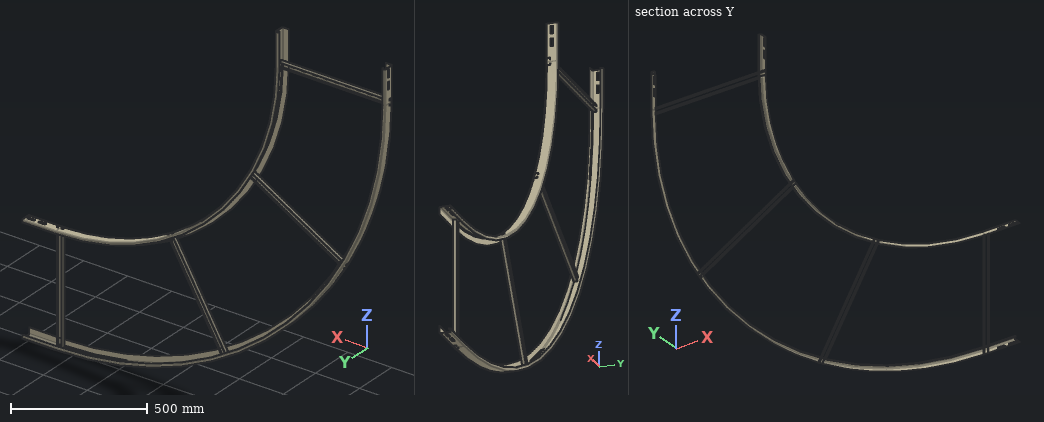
import cadquery as cq
import math


OUTER_RADIUS = 1500.0
LADDER_WIDTH = 500.0
INNER_RADIUS = OUTER_RADIUS - LADDER_WIDTH
MID_RADIUS = (OUTER_RADIUS + INNER_RADIUS) / 2
BEND_ANGLE = 90.0
STRAIGHT_LENGTH = 150.0

SHEET = 1.5
FOLD_RADIUS = 4.0

RAIL_HEIGHT = 45.0
WIDE_FLANGE = 30.0
NARROW_FLANGE = 15.0
RAIL_LIP = 8.0

JOINT_SLOT_LENGTH = 30.0
JOINT_SLOT_WIDTH = 9.0
JOINT_SLOT_PITCH = 50.0
JOINT_SLOT_COUNT = 2
FIRST_JOINT_SLOT = 26.0

RUNG_COUNT = 4
RUNG_WIDTH = 30.0
RUNG_HEIGHT = 15.0
RUNG_LIP = 7.5
FLANGE_CLEARANCE = 0.1
RUNG_BASE = SHEET + FLANGE_CLEARANCE
RUNG_TOP = RUNG_BASE + RUNG_HEIGHT
RUNG_OVERRUN = 5.0

RUNG_SLOT_COUNT = 9
RUNG_SLOT_PITCH = 50.0
RUNG_SLOT_LENGTH = 20.0
RUNG_SLOT_WIDTH = 6.0


def folded_sheet(plane, path):
    """Closed section of a sheet whose outside skin follows path; its square folds all turn one way."""
    points = [cq.Vector(*point) for point in path]
    runs = [(end - start).normalized() for start, end in zip(points, points[1:])]
    folds = list(zip(points[1:-1], runs, runs[1:]))
    inside_radius = FOLD_RADIUS - SHEET

    def add_fold(outline, fold, radius, backwards):
        corner, run_in, run_out = fold
        centre = corner + (run_out - run_in) * FOLD_RADIUS
        ends = [centre - run_out * radius, centre + run_in * radius]
        middle = centre + (run_in - run_out) * (radius * math.sqrt(0.5))
        if backwards:
            ends.reverse()
        begin, finish = ends
        return outline.lineTo(begin.x, begin.y).threePointArc((middle.x, middle.y), (finish.x, finish.y))

    first_inside = points[0] + runs[1] * SHEET
    last_inside = points[-1] - runs[-2] * SHEET
    outline = plane.moveTo(points[0].x, points[0].y)
    for fold in folds:
        outline = add_fold(outline, fold, FOLD_RADIUS, False)
    outline = outline.lineTo(points[-1].x, points[-1].y).lineTo(last_inside.x, last_inside.y)
    for fold in reversed(folds):
        outline = add_fold(outline, fold, inside_radius, True)
    return outline.lineTo(first_inside.x, first_inside.y).close()


def rail_section(web_radius, inward):
    """Rail section at X = -web_radius; its flanges run along inward * X."""
    web = -web_radius
    narrow_tip = web + inward * NARROW_FLANGE
    path = [
        (web + inward * WIDE_FLANGE, 0),
        (web, 0),
        (web, RAIL_HEIGHT),
        (narrow_tip, RAIL_HEIGHT),
        (narrow_tip, RAIL_HEIGHT - RAIL_LIP),
    ]
    return folded_sheet(cq.Workplane("XY"), path)


def joint_slots(web_radius):
    """Cutters for the slots through the web of the straight that rises along Z."""
    first = STRAIGHT_LENGTH - FIRST_JOINT_SLOT
    centres = [(RAIL_HEIGHT / 2, first - i * JOINT_SLOT_PITCH) for i in range(JOINT_SLOT_COUNT)]
    return (
        cq.Workplane("YZ", origin=(-web_radius, 0, 0))
        .pushPoints(centres)
        .rect(JOINT_SLOT_WIDTH, JOINT_SLOT_LENGTH)
        .extrude(2 * SHEET, both=True)
    )


def swap_straight(shape):
    """Mirror a shape across the bend bisector, from the straight along Z to the one along X."""
    return shape.mirror("XY").rotate((0, 0, 0), (0, 1, 0), -BEND_ANGLE)


def rail(web_radius, inward):
    straight = rail_section(web_radius, inward).extrude(STRAIGHT_LENGTH)
    straight = straight.cut(joint_slots(web_radius))
    bend = rail_section(web_radius, inward).revolve(BEND_ANGLE, (0, 0, 0), (0, -1, 0))
    return bend.union(straight, clean=False).union(swap_straight(straight), clean=False)


def rung_slots():
    return (
        cq.Workplane("XZ", origin=(-MID_RADIUS, RUNG_BASE, 0))
        .rarray(RUNG_SLOT_PITCH, 1, RUNG_SLOT_COUNT, 1)
        .rect(RUNG_SLOT_LENGTH, RUNG_SLOT_WIDTH)
        .extrude(2 * SHEET, both=True)
    )


def rail_envelope():
    """Ring bounded by the outside faces of the two rail webs and their folds."""
    ring = cq.Workplane("XZ").circle(OUTER_RADIUS).circle(INNER_RADIUS).extrude(-RAIL_HEIGHT)
    return ring.edges().fillet(FOLD_RADIUS)


def rung_blank():
    """Untrimmed rung along X, open towards +Y, running past both rail webs."""
    half = RUNG_WIDTH / 2
    path = [
        (RUNG_TOP, half - RUNG_LIP),
        (RUNG_TOP, half),
        (RUNG_BASE, half),
        (RUNG_BASE, -half),
        (RUNG_TOP, -half),
        (RUNG_TOP, -half + RUNG_LIP),
    ]
    start = cq.Workplane("YZ", origin=(-OUTER_RADIUS - RUNG_OVERRUN, 0, 0))
    return folded_sheet(start, path).extrude(LADDER_WIDTH + 2 * RUNG_OVERRUN)


def around_bend(shape, step):
    return shape.rotate((0, 0, 0), (0, 1, 0), -step * BEND_ANGLE / (RUNG_COUNT - 1))


outer_rail = rail(OUTER_RADIUS, 1)
inner_rail = rail(INNER_RADIUS, -1)
blank = rung_blank()
rung = blank.cut(rung_slots()).intersect(rail_envelope())
rungs = []
for step in range(RUNG_COUNT):
    passage = around_bend(blank, step)
    outer_rail = outer_rail.cut(passage, clean=False)
    inner_rail = inner_rail.cut(passage, clean=False)
    rungs.append(around_bend(rung, step).val())

result = cq.Compound.makeCompound([outer_rail.val(), inner_rail.val(), *rungs])